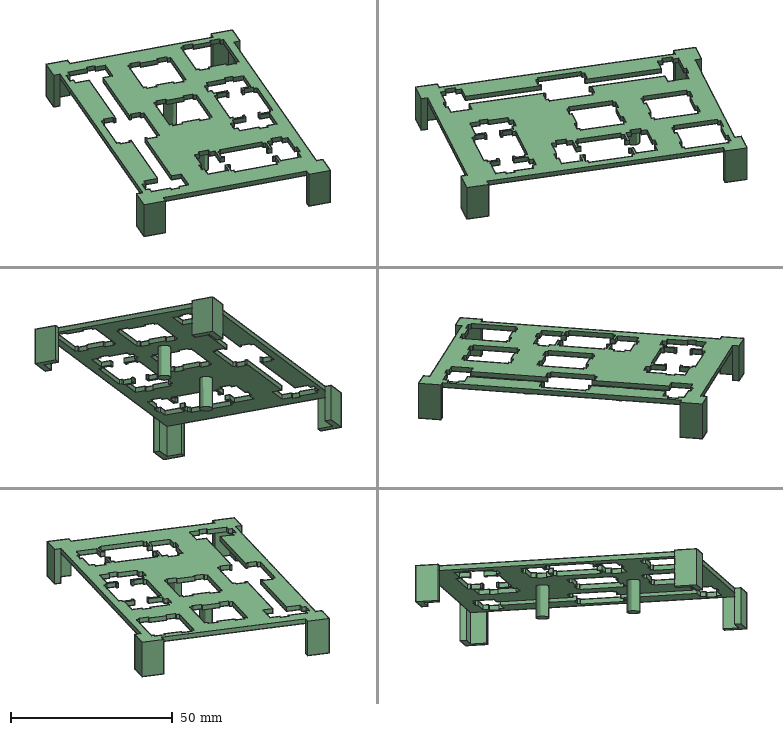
import cadquery as cq

LENGTH = 89.7
WIDTH = 61.2
HEIGHT = 11.5

PLATE_THICKNESS = 1.5
LEG_WALL = 2.1
LEG_SIDE = 7.1
PLATE_LENGTH = LENGTH - 2 * LEG_WALL
PLATE_WIDTH = WIDTH - 2 * LEG_WALL
PLATE_BOTTOM = HEIGHT - PLATE_THICKNESS

PIN_DIAMETER = 4.0
PIN_POSITIONS = [(-16.7, 0), (12.4, 0)]

KEY_PITCH = 19.0
SWITCH_SIDE = 14.0
SWITCH_NOTCHED_WIDTH = 15.6
NOTCH_INNER = 2.9
NOTCH_OUTER = 6.0

STABILIZER_WIDTH = 6.7
STABILIZER_TOP = 5.5
STABILIZER_BOTTOM = -6.7
TAB_WIDTH = 3.3
TAB_BOTTOM = -8.0
EAR_DEPTH = 0.8
EAR_TOP = 2.2
EAR_BOTTOM = -0.45
CHANNEL_HALF_WIDTH = 2.2
SHORT_REACH = 11.9
LONG_REACH = 34.7

PLAIN_KEYS = [(-33.3, KEY_PITCH), (-28.6, 0), (-4.85, 0)]
WIDE_KEY = (-2.4, KEY_PITCH)
TALL_KEY = (28.6, KEY_PITCH / 2)
SPACE_KEY = (0, -KEY_PITCH)


def block(x_min, x_max, y_min, y_max, z_min=PLATE_BOTTOM, z_max=HEIGHT):
    """Box given by its limits; by default it spans the plate thickness."""
    size = (x_max - x_min, y_max - y_min, z_max - z_min)
    return cq.Workplane("XY").box(*size, centered=False).translate((x_min, y_min, z_min))


def switch_opening():
    half_side = SWITCH_SIDE / 2
    half_notched = SWITCH_NOTCHED_WIDTH / 2
    opening = block(-half_side, half_side, -half_side, half_side)
    for y_min, y_max in [(NOTCH_INNER, NOTCH_OUTER), (-NOTCH_OUTER, -NOTCH_INNER)]:
        opening = opening.union(block(-half_notched, half_notched, y_min, y_max))
    return opening


def stabilized_opening(reach):
    """Switch opening joined by a channel to a stabilizer opening on each side."""
    half_width = STABILIZER_WIDTH / 2
    half_tab = TAB_WIDTH / 2
    outer = reach + half_width
    ear_outer = outer + EAR_DEPTH
    opening = switch_opening()
    opening = opening.union(block(-reach, reach, -CHANNEL_HALF_WIDTH, CHANNEL_HALF_WIDTH))
    opening = opening.union(block(-ear_outer, ear_outer, EAR_BOTTOM, EAR_TOP))
    for x in (-reach, reach):
        pocket = block(x - half_width, x + half_width, STABILIZER_BOTTOM, STABILIZER_TOP)
        tab = block(x - half_tab, x + half_tab, TAB_BOTTOM, STABILIZER_BOTTOM)
        opening = opening.union(pocket).union(tab)
    return opening


def corner_legs():
    """Four legs of L section wrapped around the plate corners, capped at plate level."""
    x, y = LENGTH / 2, WIDTH / 2
    cap = block(x - LEG_SIDE, x, y - LEG_SIDE, y)
    x_wall = block(x - LEG_WALL, x, y - LEG_SIDE, y, 0)
    y_wall = block(x - LEG_SIDE, x, y - LEG_WALL, y, 0)
    right_back = cap.union(x_wall).union(y_wall)
    right_pair = right_back.union(right_back.mirror("XZ"))
    return right_pair.union(right_pair.mirror("YZ"))


def support_pins():
    pins = cq.Workplane("XY").pushPoints(PIN_POSITIONS)
    return pins.circle(PIN_DIAMETER / 2).extrude(PLATE_BOTTOM)


plate = block(-PLATE_LENGTH / 2, PLATE_LENGTH / 2, -PLATE_WIDTH / 2, PLATE_WIDTH / 2)
frame = plate.union(corner_legs()).union(support_pins())

for centre in PLAIN_KEYS:
    frame = frame.cut(switch_opening().translate((*centre, 0)))
frame = frame.cut(stabilized_opening(SHORT_REACH).translate((*WIDE_KEY, 0)))
frame = frame.cut(stabilized_opening(LONG_REACH).translate((*SPACE_KEY, 0)))
tall_opening = stabilized_opening(SHORT_REACH).rotate((0, 0, 0), (0, 0, 1), -90)
frame = frame.cut(tall_opening.translate((*TALL_KEY, 0)))

result = frame